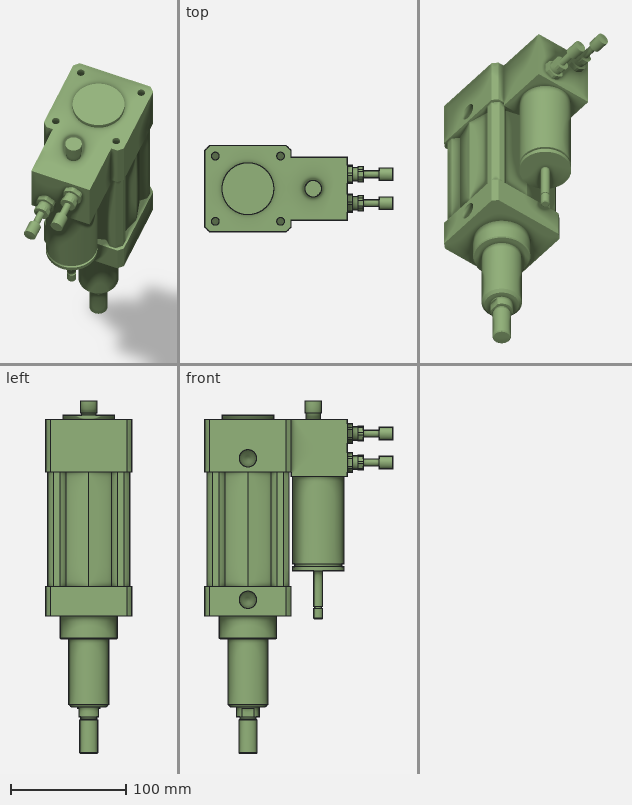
import cadquery as cq
import math


OVERALL_LENGTH = 306.0
OVERALL_WIDTH = 163.0

SLEEVE_BOTTOM = 40.5
GLAND_BOTTOM = 99.5
FOOT_BOTTOM = 119.3
FOOT_TOP = 145.0
HEAD_BOTTOM = 244.2
HEAD_TOP = 289.8

BLOCK_SIDE = 75.0
BLOCK_CHAMFER = 4.3
BOLT_SPACING = 56.5
BOLT_HOLE_DIAMETER = 6.7
BOLT_HOLE_DEPTH = 9.2

PORT_DIAMETER = 15.0
PORT_DEPTH = 9.2
DRILL_POINT_ANGLE = 118.0
HEAD_PORT_ABOVE_HEAD_BOTTOM = 12.0
FOOT_PORT_ABOVE_FOOT_BOTTOM = 14.0

BARREL_SIDE = 71.3
BARREL_CHAMFER = 5.0
GROOVE_EDGE = 25.0
GROOVE_DEPTH = 5.2

DISC_DIAMETER = 45.0
DISC_HEIGHT = 3.7
GLAND_DIAMETER = 50.0
GLAND_CHAMFER = 1.0
SLEEVE_DIAMETER = 35.0
SLEEVE_CHAMFER = 2.5

ROD_DIAMETER = 20.0
ROD_SHOULDER = 31.8
FLATS_WIDTH = 17.0
FLATS_TOP_GAP = 1.2
THREAD_DIAMETER = 16.0
THREAD_TOP = 30.0
THREAD_CHAMFER = 1.0
UNDERCUT_DIAMETER = 14.0

SIDE_BLOCK_END = 86.3
SIDE_BLOCK_WIDTH = 54.8
SIDE_BLOCK_BOTTOM = 240.2

KNOB_X = 56.5
KNOB_DIAMETER = 14.5
KNOB_HEIGHT = 10.5
KNOB_NECK_DIAMETER = 13.0

ADJUSTER_X = 61.0
ADJUSTER_DIAMETER = 45.0
ADJUSTER_BOTTOM = 158.5
ADJUSTER_GROOVE_DIAMETER = 41.0
ADJUSTER_GROOVE_BOTTOM = 162.2
ADJUSTER_GROOVE_WIDTH = 2.5
PIN_DIAMETER = 8.0
PIN_BOTTOM = 116.5
PIN_CHAMFER = 1.0
PIN_GROOVE_DIAMETER = 6.0
PIN_GROOVE_BOTTOM = 126.0
PIN_GROOVE_WIDTH = 1.5

FITTING_SPACING = 25.0
FITTING_MIDDLE_Z = 265.0
BASE_HEX_FLATS = 16.0
BASE_HEX_CORNER_CUT = 1.2
BASE_HEX_LENGTH = 4.5
COLLAR_DIAMETER = 12.0
COLLAR_LENGTH = 4.5
LOCK_HEX_FLATS = 13.0
LOCK_HEX_CORNER_CUT = 1.2
LOCK_HEX_LENGTH = 4.5
STEM_DIAMETER = 6.0
CAP_DIAMETER = 11.0
CAP_LENGTH = 12.0


def cylinder(diameter, bottom, top, x=0.0):
    """Upright cylinder between two levels."""
    return cq.Workplane("XY", origin=(x, 0, bottom)).circle(diameter / 2).extrude(top - bottom)


def ring_groove(outer_diameter, inner_diameter, bottom, width, x):
    """Ring of material to cut for a groove around an upright cylinder."""
    ring = cq.Workplane("XY", origin=(x, 0, bottom)).circle(outer_diameter / 2).circle(inner_diameter / 2)
    return ring.extrude(width)


def end_block(bottom, top):
    """Square block with chamfered vertical edges."""
    block = cq.Workplane("XY", origin=(0, 0, bottom)).rect(BLOCK_SIDE, BLOCK_SIDE).extrude(top - bottom)
    return block.edges("|Z").chamfer(BLOCK_CHAMFER)


def barrel():
    """Square extrusion with two grooves and a central ridge on each side."""
    half = BARREL_SIDE / 2
    body = cq.Workplane("XY", origin=(0, 0, FOOT_TOP)).rect(BARREL_SIDE, BARREL_SIDE)
    body = body.extrude(HEAD_BOTTOM - FOOT_TOP).edges("|Z").chamfer(BARREL_CHAMFER)
    ridge = (0, half)
    for side in (-1, 1):
        groove_edge = (side * GROOVE_EDGE, half)
        groove_bottom = (side * (GROOVE_EDGE - GROOVE_DEPTH), half - GROOVE_DEPTH)
        groove = (
            cq.Workplane("XY", origin=(0, 0, FOOT_TOP))
            .polyline([ridge, groove_bottom, groove_edge])
            .close()
            .extrude(HEAD_BOTTOM - FOOT_TOP)
        )
        for quarter in range(4):
            body = body.cut(groove.rotate((0, 0, 0), (0, 0, 1), 90 * quarter))
    return body


def port(z):
    """Blind drilled hole with a conical bottom, entering from the -Y face."""
    radius = PORT_DIAMETER / 2
    face = -BLOCK_SIDE / 2
    point_depth = PORT_DEPTH + radius / math.tan(math.radians(DRILL_POINT_ANGLE / 2))
    profile = (
        cq.Workplane("XY", origin=(0, 0, z))
        .polyline([(0, face), (radius, face), (radius, face + PORT_DEPTH), (0, face + point_depth)])
        .close()
    )
    return profile.revolve(360, (0, 0), (0, 1))


def bolt_holes():
    """Four blind holes in the top of the head."""
    return (
        cq.Workplane("XY", origin=(0, 0, HEAD_TOP))
        .rect(BOLT_SPACING, BOLT_SPACING, forConstruction=True)
        .vertices()
        .circle(BOLT_HOLE_DIAMETER / 2)
        .extrude(-BOLT_HOLE_DEPTH)
    )


def side_block():
    """Plain block on the +X side of the head, with its top flush with the head."""
    head_face = BLOCK_SIDE / 2
    overlap_start = head_face - BLOCK_CHAMFER
    return (
        cq.Workplane("XZ", origin=(0, SIDE_BLOCK_WIDTH / 2, 0))
        .moveTo(overlap_start, HEAD_TOP)
        .lineTo(SIDE_BLOCK_END, HEAD_TOP)
        .lineTo(SIDE_BLOCK_END, SIDE_BLOCK_BOTTOM)
        .lineTo(head_face, SIDE_BLOCK_BOTTOM)
        .lineTo(head_face, HEAD_BOTTOM)
        .lineTo(overlap_start, HEAD_BOTTOM)
        .close()
        .extrude(SIDE_BLOCK_WIDTH)
    )


def knob():
    """Knob on a thinner neck on top of the side block."""
    head = cylinder(KNOB_DIAMETER, OVERALL_LENGTH - KNOB_HEIGHT, OVERALL_LENGTH, KNOB_X)
    return head.union(cylinder(KNOB_NECK_DIAMETER, HEAD_TOP, OVERALL_LENGTH - KNOB_HEIGHT, KNOB_X))


def adjuster():
    """Grooved cylinder below the side block with a grooved pin at its end."""
    body = cylinder(ADJUSTER_DIAMETER, ADJUSTER_BOTTOM, SIDE_BLOCK_BOTTOM, ADJUSTER_X)
    body = body.cut(ring_groove(
        ADJUSTER_DIAMETER, ADJUSTER_GROOVE_DIAMETER, ADJUSTER_GROOVE_BOTTOM, ADJUSTER_GROOVE_WIDTH, ADJUSTER_X
    ))
    pin = cylinder(PIN_DIAMETER, PIN_BOTTOM, ADJUSTER_BOTTOM, ADJUSTER_X).faces("<Z").chamfer(PIN_CHAMFER)
    pin = pin.cut(ring_groove(
        PIN_DIAMETER, PIN_GROOVE_DIAMETER, PIN_GROOVE_BOTTOM, PIN_GROOVE_WIDTH, ADJUSTER_X
    ))
    return body.union(pin)


def make_housing():
    """Cylinder housing: end blocks, barrel, gland, sleeve, side block, knob and adjuster."""
    gland = cylinder(GLAND_DIAMETER, GLAND_BOTTOM, FOOT_BOTTOM).faces("<Z").chamfer(GLAND_CHAMFER)
    sleeve = cylinder(SLEEVE_DIAMETER, SLEEVE_BOTTOM, GLAND_BOTTOM).faces("<Z").chamfer(SLEEVE_CHAMFER)
    body = end_block(FOOT_BOTTOM, FOOT_TOP).union(end_block(HEAD_BOTTOM, HEAD_TOP))
    body = body.union(barrel()).union(gland).union(sleeve)
    body = body.union(cylinder(DISC_DIAMETER, HEAD_TOP, HEAD_TOP + DISC_HEIGHT))
    body = body.union(side_block()).union(knob()).union(adjuster())
    body = body.cut(bolt_holes())
    body = body.cut(port(HEAD_BOTTOM + HEAD_PORT_ABOVE_HEAD_BOTTOM))
    return body.cut(port(FOOT_BOTTOM + FOOT_PORT_ABOVE_FOOT_BOTTOM))


def make_rod():
    """Piston rod end: shoulder with wrench flats on the Y sides, undercut and thread."""
    shoulder = cylinder(ROD_DIAMETER, ROD_SHOULDER, SLEEVE_BOTTOM)
    flats_top = SLEEVE_BOTTOM - FLATS_TOP_GAP
    flats = cq.Workplane("XY", origin=(0, 0, ROD_SHOULDER)).rect(ROD_DIAMETER, FLATS_WIDTH)
    flats = flats.extrude(flats_top - ROD_SHOULDER)
    round_top = cylinder(ROD_DIAMETER, flats_top, SLEEVE_BOTTOM)
    shoulder = shoulder.intersect(flats.union(round_top))
    undercut = cylinder(UNDERCUT_DIAMETER, THREAD_TOP, ROD_SHOULDER)
    thread = cylinder(THREAD_DIAMETER, 0, THREAD_TOP).faces("<Z or >Z").chamfer(THREAD_CHAMFER)
    return shoulder.union(undercut).union(thread)


def blunt_hex(flats, corner_cut, length, turn):
    """Hexagon along +X from X = 0, its corners cut flat, turned about its axis."""
    corner_diameter = flats / math.cos(math.pi / 6)
    hexagon = cq.Workplane("YZ").polygon(6, corner_diameter).extrude(length)
    return hexagon.edges("|X").chamfer(corner_cut).rotate((0, 0, 0), (1, 0, 0), turn)


def make_fitting(y, z):
    """Plug fitting: base hexagon, collar, lock hexagon, stem and cap along +X."""
    collar_start = BASE_HEX_LENGTH
    lock_start = collar_start + COLLAR_LENGTH
    stem_start = lock_start + LOCK_HEX_LENGTH
    cap_end = OVERALL_WIDTH - BLOCK_SIDE / 2 - SIDE_BLOCK_END
    cap_start = cap_end - CAP_LENGTH
    fitting = blunt_hex(BASE_HEX_FLATS, BASE_HEX_CORNER_CUT, BASE_HEX_LENGTH, 90)
    for diameter, start, end in (
        (COLLAR_DIAMETER, collar_start, lock_start),
        (STEM_DIAMETER, stem_start, cap_start),
        (CAP_DIAMETER, cap_start, cap_end),
    ):
        fitting = fitting.union(
            cq.Workplane("YZ", origin=(start, 0, 0)).circle(diameter / 2).extrude(end - start)
        )
    lock = blunt_hex(LOCK_HEX_FLATS, LOCK_HEX_CORNER_CUT, LOCK_HEX_LENGTH, 0)
    fitting = fitting.union(lock.translate((lock_start, 0, 0)))
    return fitting.translate((SIDE_BLOCK_END, y, z))


housing = make_housing()
rod = make_rod()

fittings = []
for side in (-1, 1):
    offset = side * FITTING_SPACING / 2
    fittings.append(make_fitting(offset, FITTING_MIDDLE_Z + offset).val())

result = cq.Compound.makeCompound([housing.val(), rod.val(), *fittings])